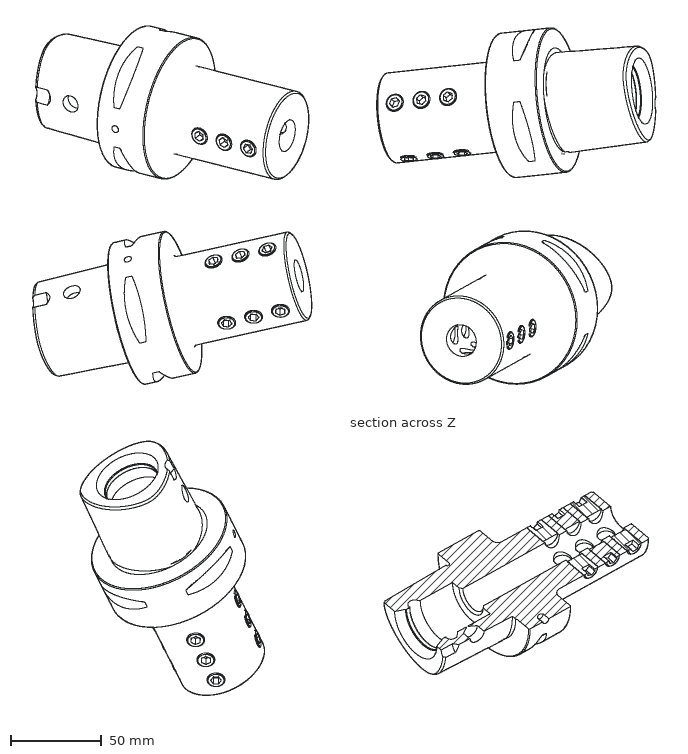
import cadquery as cq
import math

TOTAL_LENGTH = 146.0
FLANGE_START = 48.0
FLANGE_END = 78.0
FLANGE_RADIUS = 40.0
FLANGE_CHAMFER = 0.6
NOSE_RADIUS = 25.0
NOSE_FILLET = 4.0
NOSE_CHAMFER = 1.0

LOBE_HEIGHT = 1.9
TAPER_SMALL_RADIUS = 26.5
TAPER_LARGE_RADIUS = 27.7
TAPER_END = 45.8
LEAD_LENGTH = 1.5
LEAD_DEPTH = 0.9

BOSS_HEIGHT = 0.5
BOSS_RADIUS = 28.8
BOSS_FOOT_RADIUS = 30.2

MOUTH_RADIUS = 18.2
GUIDE_RADIUS = 17.4
GUIDE_START = 1.6
GUIDE_END_RADIUS = 15.8
LIP_START = 5.7
LIP_END = 8.8
LIP_CHAMFER = 0.5
RELIEF_RADIUS = 18.4
RELIEF_END = 14.3
CLAMP_BORE_RADIUS = 16.2
CLAMP_BORE_START = 16.5
CLAMP_BORE_END = 39.4
THROUGH_RADIUS = 8.9
THROUGH_CHAMFER = 1.5

NOTCH_RADIUS = 5.8
NOTCH_FLOOR = 22.2
NOTCH_LENGTH = 8.0
NOTCH_TIP_LENGTH = 5.0

DRILL_TIP_ANGLE = 118.0
COOLANT_HOLE_X = 23.0
COOLANT_HOLE_RADIUS = 4.8
COOLANT_HOLE_FLOOR = 19.4
GRIP_X = 59.9
MARK_HOLE_RADIUS = 2.0
MARK_HOLE_FLOOR = 35.0

GROOVE_COUNT = 4
GROOVE_FLOOR = 35.5
GROOVE_FLOOR_WIDTH = 3.6
GROOVE_SIDE_ANGLE = 31.0
GROOVE_CORNER_FILLET = 0.6

SCREW_PITCH = 15.5
FIRST_SCREW_X = 104.4
SCREW_RADIUS = 5.0
SCREW_LENGTH = 14.6
SCREW_CHAMFER = 0.6
SOCKET_FLATS = 5.0
SOCKET_DEPTH = 5.0
SOCKET_TURNS = [5.0, 10.0, 38.0]
SCREW_ROW_ANGLES = [90.0, 180.0, 270.0]


def revolve_about_x(sketch):
    """Turn a closed (x, radius) outline around the X axis."""
    return sketch.close().revolve(360, (0, 0, 0), (1, 0, 0))


def trilobe_section(x, mean_radius):
    """Constant-width three-lobed wire at the given x, with one lobe toward +Y."""
    def point(t):
        reach = mean_radius + LOBE_HEIGHT * math.cos(3 * t)
        slope = -3 * LOBE_HEIGHT * math.sin(3 * t)
        return (reach * math.cos(t) - slope * math.sin(t), reach * math.sin(t) + slope * math.cos(t))

    point_count = 48
    outline = [point(2 * math.pi * i / point_count) for i in range(point_count)]
    return cq.Workplane("YZ", origin=(x, 0, 0)).spline(outline, periodic=True).close().val()


def trilobe_loft(x_start, radius_start, x_end, radius_end):
    sections = [trilobe_section(x_start, radius_start), trilobe_section(x_end, radius_end)]
    return cq.Workplane(cq.Solid.makeLoft(sections, True))


def make_taper():
    lead = trilobe_loft(0, TAPER_SMALL_RADIUS - LEAD_DEPTH, LEAD_LENGTH, TAPER_SMALL_RADIUS)
    cone = trilobe_loft(LEAD_LENGTH, TAPER_SMALL_RADIUS, TAPER_END, TAPER_LARGE_RADIUS)
    neck = trilobe_loft(TAPER_END, TAPER_LARGE_RADIUS, FLANGE_START, TAPER_LARGE_RADIUS)
    neck_trim = cq.Workplane("YZ").circle(BOSS_RADIUS).extrude(FLANGE_START)
    return lead.union(cone).union(neck.intersect(neck_trim))


def make_turned_body():
    """Nose, flange and boss, outlined from the nose end back to the boss."""
    fillet_end = FLANGE_END + NOSE_FILLET
    outline = (
        cq.Workplane("XY")
        .moveTo(TOTAL_LENGTH, 0)
        .lineTo(TOTAL_LENGTH, NOSE_RADIUS - NOSE_CHAMFER)
        .lineTo(TOTAL_LENGTH - NOSE_CHAMFER, NOSE_RADIUS)
        .lineTo(fillet_end, NOSE_RADIUS)
        .tangentArcPoint((FLANGE_END, NOSE_RADIUS + NOSE_FILLET), relative=False)
        .lineTo(FLANGE_END, FLANGE_RADIUS - FLANGE_CHAMFER)
        .lineTo(FLANGE_END - FLANGE_CHAMFER, FLANGE_RADIUS)
        .lineTo(FLANGE_START + FLANGE_CHAMFER, FLANGE_RADIUS)
        .lineTo(FLANGE_START, FLANGE_RADIUS - FLANGE_CHAMFER)
        .lineTo(FLANGE_START, BOSS_FOOT_RADIUS)
        .tangentArcPoint((FLANGE_START - BOSS_HEIGHT, BOSS_RADIUS), relative=False)
        .lineTo(FLANGE_START - BOSS_HEIGHT, 0)
    )
    return revolve_about_x(outline)


def bore_cutter():
    """Full-length stepped bore, outlined from the nose end back to the mouth."""
    lip_radius = GUIDE_END_RADIUS - LIP_CHAMFER
    outline = (
        cq.Workplane("XY")
        .moveTo(TOTAL_LENGTH, 0)
        .lineTo(TOTAL_LENGTH, THROUGH_RADIUS)
        .lineTo(CLAMP_BORE_END + THROUGH_CHAMFER, THROUGH_RADIUS)
        .lineTo(CLAMP_BORE_END, THROUGH_RADIUS + THROUGH_CHAMFER)
        .lineTo(CLAMP_BORE_END, CLAMP_BORE_RADIUS)
        .lineTo(CLAMP_BORE_START, CLAMP_BORE_RADIUS)
        .lineTo(RELIEF_END, RELIEF_RADIUS)
        .tangentArcPoint((LIP_END, GUIDE_END_RADIUS), relative=False)
        .lineTo(LIP_END - LIP_CHAMFER, lip_radius)
        .lineTo(LIP_START + LIP_CHAMFER, lip_radius)
        .lineTo(LIP_START, GUIDE_END_RADIUS)
        .lineTo(GUIDE_START, GUIDE_RADIUS)
        .lineTo(0, MOUTH_RADIUS)
        .lineTo(0, 0)
    )
    return revolve_about_x(outline)


def notch_cutter():
    """Round-nosed pocket running in from the end face."""
    outline = (
        cq.Workplane("XY")
        .moveTo(0, 0)
        .lineTo(0, NOTCH_RADIUS)
        .lineTo(NOTCH_LENGTH, NOTCH_RADIUS)
        .lineTo(NOTCH_LENGTH + NOTCH_TIP_LENGTH, 0)
    )
    return revolve_about_x(outline).translate((0, -NOTCH_FLOOR - NOTCH_RADIUS, 0))


def drill_cutter(x, radius, floor):
    """Drill entering from -Y whose full diameter ends at the given distance from the axis."""
    tip = radius / math.tan(math.radians(DRILL_TIP_ANGLE / 2))
    return (
        cq.Workplane("XY", origin=(x, 0, 0))
        .moveTo(0, -FLANGE_RADIUS)
        .lineTo(radius, -FLANGE_RADIUS)
        .lineTo(radius, -floor)
        .lineTo(0, -floor + tip)
        .close()
        .revolve(360, (0, 0, 0), (0, 1, 0))
    )


def groove_cutter(angle):
    """Tangential trapezoid groove in the flange rim, turned about X from +Z."""
    depth = FLANGE_RADIUS - GROOVE_FLOOR
    half_floor = GROOVE_FLOOR_WIDTH / 2
    half_top = half_floor + depth * math.tan(math.radians(GROOVE_SIDE_ANGLE))
    return (
        cq.Workplane("XZ", origin=(GRIP_X, 0, 0))
        .polyline([
            (-half_floor, GROOVE_FLOOR),
            (half_floor, GROOVE_FLOOR),
            (half_top, FLANGE_RADIUS),
            (-half_top, FLANGE_RADIUS),
        ])
        .close()
        .extrude(FLANGE_RADIUS, both=True)
        .faces("<Z").edges("|Y").fillet(GROOVE_CORNER_FILLET)
        .rotate((0, 0, 0), (1, 0, 0), angle)
    )


def place_screw(shape, station, row_angle):
    """Move a shape modelled along Z to its screw station and row."""
    x = FIRST_SCREW_X + station * SCREW_PITCH
    return shape.rotate((0, 0, 0), (1, 0, 0), row_angle).translate((x, 0, 0))


def screw_hole_cutter():
    """Hole into the bore whose mouth closes in over the screw's chamfer."""
    shoulder = NOSE_RADIUS - SCREW_CHAMFER
    mouth_height = 2 * SCREW_CHAMFER
    return (
        cq.Workplane("XZ")
        .lineTo(SCREW_RADIUS, 0)
        .lineTo(SCREW_RADIUS, shoulder)
        .lineTo(SCREW_RADIUS - mouth_height, shoulder + mouth_height)
        .lineTo(0, shoulder + mouth_height)
        .close()
        .revolve(360, (0, 0, 0), (0, 1, 0))
    )


def make_screw(socket_turn):
    """Hexagon socket set screw with its face touching the nose surface."""
    socket = (
        cq.Workplane("XY", origin=(0, 0, NOSE_RADIUS - SOCKET_DEPTH))
        .polygon(6, SOCKET_FLATS, circumscribed=True)
        .extrude(SOCKET_DEPTH)
        .rotate((0, 0, 0), (0, 0, 1), socket_turn)
    )
    return (
        cq.Workplane("XY", origin=(0, 0, NOSE_RADIUS - SCREW_LENGTH))
        .circle(SCREW_RADIUS)
        .extrude(SCREW_LENGTH)
        .faces(">Z").chamfer(SCREW_CHAMFER)
        .cut(socket)
    )


def make_holder():
    holder = make_turned_body().union(make_taper())
    holder = holder.cut(bore_cutter())
    holder = holder.cut(notch_cutter())
    holder = holder.cut(drill_cutter(COOLANT_HOLE_X, COOLANT_HOLE_RADIUS, COOLANT_HOLE_FLOOR))
    holder = holder.cut(drill_cutter(GRIP_X, MARK_HOLE_RADIUS, MARK_HOLE_FLOOR))
    groove_spacing = 360 / GROOVE_COUNT
    for i in range(GROOVE_COUNT):
        holder = holder.cut(groove_cutter(groove_spacing / 2 + i * groove_spacing))
    for row_angle in SCREW_ROW_ANGLES:
        for station in range(len(SOCKET_TURNS)):
            holder = holder.cut(place_screw(screw_hole_cutter(), station, row_angle))
    return holder.solids()


holder = make_holder()

screws = []
for row_angle in SCREW_ROW_ANGLES:
    for station, socket_turn in enumerate(SOCKET_TURNS):
        screws.append(place_screw(make_screw(socket_turn), station, row_angle).val())

result = cq.Compound.makeCompound([holder.val(), *screws])